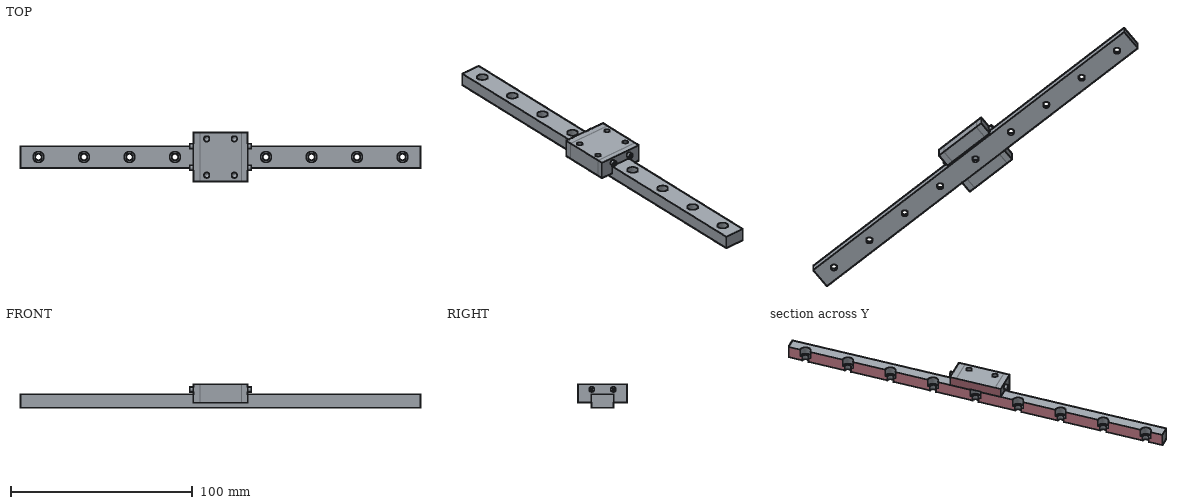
import cadquery as cq
import math

rail_length = 220.0
rail_width = 12.0
rail_height = 7.5
rail_hole_count = 9
rail_end_margin = 10.0
rail_hole_pitch = (rail_length - 2 * rail_end_margin) / (rail_hole_count - 1)
rail_hole_diameter = 3.5
counterbore_diameter = 6.0
counterbore_depth = 4.5

carriage_length = 30.0
carriage_width = 27.0
carriage_top = 13.0
carriage_bottom = 2.9
end_cap_length = 3.5

mount_pitch_x = 15.2
mount_pitch_y = 20.0
mount_hole_diameter = 3.0
mount_hole_depth = 3.5
drill_point_angle = 118

stud_diameter = 2.9
stud_bore_diameter = 0.9
stud_length = 2.0
stud_pitch = 11.9
stud_drop = 2.9


def make_rail():
    rail = cq.Workplane("XY").box(rail_length, rail_width, rail_height, centered=(True, True, False))
    return (
        rail.faces(">Z").workplane()
        .rarray(rail_hole_pitch, 2.2, rail_hole_count, 1)
        .cboreHole(rail_hole_diameter, counterbore_diameter, counterbore_depth)
    )


def make_carriage_section(center_x, length):
    """A length of the carriage profile, which straddles the rail."""
    half_width = carriage_width / 2
    half_channel = rail_width / 2
    return (
        cq.Workplane("YZ", origin=(center_x - length / 2, 0, 0))
        .polyline([
            (-half_width, carriage_bottom),
            (-half_width, carriage_top),
            (half_width, carriage_top),
            (half_width, carriage_bottom),
            (half_channel, carriage_bottom),
            (half_channel, rail_height),
            (-half_channel, rail_height),
            (-half_channel, carriage_bottom),
        ])
        .close()
        .extrude(length)
    )


def make_mount_holes():
    radius = mount_hole_diameter / 2
    tip_depth = radius / math.tan(math.radians(drill_point_angle / 2))
    hole = (
        cq.Workplane("XZ")
        .polyline([
            (0, carriage_top),
            (radius, carriage_top),
            (radius, carriage_top - mount_hole_depth),
            (0, carriage_top - mount_hole_depth - tip_depth),
        ])
        .close()
        .revolve(360, (0, 0, 0), (0, 1, 0))
    )
    return (
        cq.Workplane("XY")
        .rarray(mount_pitch_x, mount_pitch_y, 2, 2)
        .eachpoint(lambda place: hole.val().moved(place))
    )


def make_stud(end_sign, side_sign):
    base = (end_sign * carriage_length / 2, side_sign * stud_pitch / 2, carriage_top - stud_drop)
    return (
        cq.Workplane("YZ", origin=base)
        .circle(stud_diameter / 2)
        .circle(stud_bore_diameter / 2)
        .extrude(end_sign * stud_length)
    )


def make_carriage():
    carriage = make_carriage_section(0, carriage_length - 2 * end_cap_length)
    cap_offset = (carriage_length - end_cap_length) / 2
    for end_sign in (-1, 1):
        end_cap = make_carriage_section(end_sign * cap_offset, end_cap_length)
        carriage = carriage.union(end_cap, clean=False)
        for side_sign in (-1, 1):
            carriage = carriage.union(make_stud(end_sign, side_sign), clean=False)
    return carriage.cut(make_mount_holes(), clean=False)


rail = make_rail()
carriage = make_carriage()

result = cq.Compound.makeCompound([rail.val(), carriage.val()])